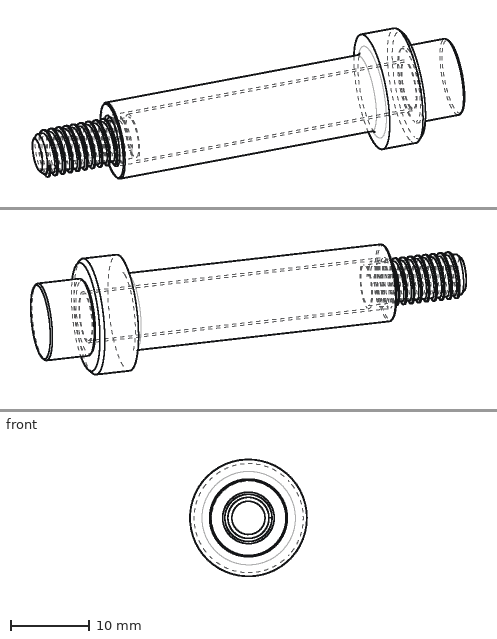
import cadquery as cq
import math


total_length = 56.0
head_height = 6.0
head_radius = 5.0
head_edge = 0.2

collar_radius = 7.5
collar_width = 5.0
collar_chamfer = 0.5

sleeve_radius = 5.0
sleeve_fillet = 1.0
sleeve_end_chamfer = 0.15
bore_radius = 3.3

screw_overhang = 10.0
thread_radius = 3.0
core_radius = 2.65
tip_chamfer = 0.5

overhang_turns = 10
hidden_turns = 2
thread_phase = 0.28
visible_turns = 9
ridge_base_width = 0.5
ridge_crest_width = 0.15
ridge_root_depth = 0.1

sleeve_length = total_length - head_height - screw_overhang
pitch = screw_overhang / overhang_turns
screw_tip = -(sleeve_length + screw_overhang)
thread_start = sleeve_length + (thread_phase - hidden_turns) * pitch
thread_length = (hidden_turns + visible_turns) * pitch
shank_end = -(thread_start - pitch)


def make_sleeve():
    """Bored sleeve with a chamfered collar at its +Y end."""
    fillet_mid = sleeve_fillet * (1 - math.sqrt(0.5))
    return (
        cq.Workplane("XY")
        .moveTo(bore_radius, 0)
        .lineTo(collar_radius - collar_chamfer, 0)
        .lineTo(collar_radius, -collar_chamfer)
        .lineTo(collar_radius, -collar_width)
        .lineTo(sleeve_radius + sleeve_fillet, -collar_width)
        .threePointArc(
            (sleeve_radius + fillet_mid, -collar_width - fillet_mid),
            (sleeve_radius, -collar_width - sleeve_fillet),
        )
        .lineTo(sleeve_radius, -sleeve_length + sleeve_end_chamfer)
        .lineTo(sleeve_radius - sleeve_end_chamfer, -sleeve_length)
        .lineTo(bore_radius, -sleeve_length)
        .close()
        .revolve(360, (0, 0), (0, 1))
    )


def make_thread_ridge():
    """Right-hand helical ridge, wound toward -Y from inside the bore to near the tip."""
    root_radius = core_radius - ridge_root_depth
    helix = cq.Wire.makeHelix(pitch, thread_length, core_radius)
    ridge = (
        cq.Workplane("XZ")
        .polyline([
            (root_radius, -ridge_base_width / 2),
            (thread_radius, -ridge_crest_width / 2),
            (thread_radius, ridge_crest_width / 2),
            (root_radius, ridge_base_width / 2),
        ])
        .close()
        .sweep(cq.Workplane(obj=helix), isFrenet=True)
    )
    return ridge.translate((0, 0, thread_start)).rotate((0, 0, 0), (1, 0, 0), 90)


def make_screw():
    """Screw with a cylindrical head, a plain shank and a threaded end."""
    blank = (
        cq.Workplane("XY")
        .moveTo(0, head_height)
        .lineTo(head_radius - head_edge, head_height)
        .lineTo(head_radius, head_height - head_edge)
        .lineTo(head_radius, head_edge)
        .lineTo(head_radius - head_edge, 0)
        .lineTo(thread_radius, 0)
        .lineTo(thread_radius, shank_end)
        .lineTo(core_radius, shank_end)
        .lineTo(core_radius, screw_tip + tip_chamfer)
        .lineTo(core_radius - tip_chamfer, screw_tip)
        .lineTo(0, screw_tip)
        .close()
        .revolve(360, (0, 0), (0, 1))
    )
    return blank.union(make_thread_ridge())


sleeve = make_sleeve()
screw = make_screw()

result = cq.Compound.makeCompound([sleeve.val(), screw.solids().val()])